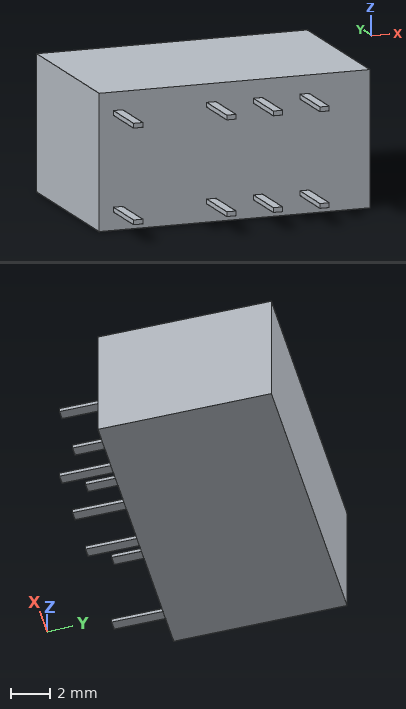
import cadquery as cq

body_length = 14.8
body_depth = 9.2
body_height = 7.3

pin_width = 0.5
pin_thickness = 0.25
pin_length = 2.95
pin_pitch = 2.55
row_spacing = 2 * pin_pitch
first_pin_inset = 1.04
pin_slots = (0, 2, 3, 4)


def make_body():
    return cq.Workplane("XY").box(body_length, body_depth, body_height)


def pin_centers():
    first_x = -body_length / 2 + first_pin_inset
    return [
        (first_x + slot * pin_pitch, row * row_spacing / 2)
        for slot in pin_slots
        for row in (-1, 1)
    ]


def add_pins(body):
    pins = (
        cq.Workplane("XZ", origin=(0, -body_depth / 2, 0))
        .pushPoints(pin_centers())
        .rect(pin_width, pin_thickness)
        .extrude(pin_length)
    )
    return body.union(pins)


result = add_pins(make_body())